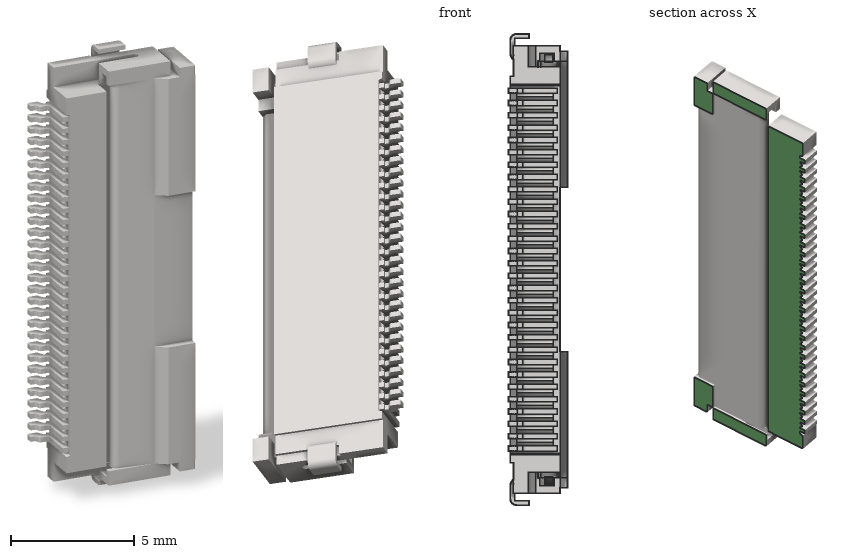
import cadquery as cq


half_length = 9.55
back_y = 6.4
flap_x = 2.4

base_x = 0.08
cover_x = 2.1
front_y = 0.82
rear_y = 5.42
housing_half = 9.07
end_step_x = 0.21
end_step_z = 7.83

shoulder_z = 8.21
slot_x = 0.8
slot_width = 0.3
slot_end_y = 4.5
arm_front_y = 2.7

cavity_x = 1.18
cavity_front_y = 2.6
cavity_half = 8.45
window_x = 1.28
window_right_x = 1.85
window_top_z = 8.77
window_back_y = 3.82
pin_x = 1.47
pin_right_x = 1.8
pin_front_y = 2.96
pin_top_z = 8.71

flap_inner_x = 0.94
flap_nose_x = 1.32
flap_nose_right_x = 1.95
flap_nose_y = 2.96
flap_ramp_top_y = 5.2
flap_ramp_slope_y = 4.72
flap_window_half = 7.3
flap_relief_half = 3.32
flap_rim_chamfer = 0.2
ear_x = 0.23
ear_y = 5.71
ear_inner_z = 7.81
ear_outer_z = 8.85
ear_round = 0.05
nub_width = 0.27
nub_length = 0.11

clip_thickness = 0.2
clip_reach_x = 0.84
clip_front_y = 2.8
clip_back_y = 4.0
clip_low_z = 8.5
clip_toe_height = 0.23
clip_toe_bulge = 0.02
clip_bend = 0.27
clip_pocket_x = 0.36
clip_pocket_z = 8.67

contact_count = 30
contact_row_length = 14.5
contact_pitch = contact_row_length / (contact_count - 1)
contact_width = 0.21
foot_thickness = 0.36
foot_length = 0.27
foot_toe = 0.08
foot_bend_y = 0.38
neck_low_x = 0.3
neck_high_x = 0.6
neck_low_y = 0.61
neck_bend = 0.11
bar_x = 0.2
bar_right_x = 1.99
bar_front_y = 0.7
bar_heel_y = 0.76
recess_y = 0.97
recess_half = 7.45
recess_end_slope = 0.05
ridge_x = 0.35
ridge_right_x = 1.81
ridge_half_width = 0.15
overlap = 0.04


def box(x0, x1, y0, y1, z0, z1):
    """Block between two opposite corners."""
    return cq.Workplane("XY").box(x1 - x0, y1 - y0, z1 - z0, centered=False).translate((x0, y0, z0))


def both_ends(upper):
    """The given shape together with its mirror image in Z = 0."""
    return upper.union(upper.mirror("XY"))


def make_housing():
    housing = box(base_x, cover_x, front_y, rear_y, -housing_half, housing_half)
    end_step = box(base_x, end_step_x, front_y, rear_y, end_step_z, housing_half)
    clip_pocket = box(base_x, clip_pocket_x, arm_front_y, rear_y, clip_pocket_z, housing_half)
    notch = box(slot_x, cover_x, front_y, arm_front_y, shoulder_z, housing_half)
    slot_radius = slot_width / 2
    slot_center_x = slot_x + slot_radius
    slot_center_y = slot_end_y - slot_radius
    slot = box(slot_x, slot_x + slot_width, front_y, slot_center_y, shoulder_z, housing_half)
    slot_end = (
        cq.Workplane("XY", origin=(slot_center_x, slot_center_y, shoulder_z))
        .circle(slot_radius)
        .extrude(housing_half - shoulder_z)
    )
    window = box(window_x, window_right_x, cavity_front_y, window_back_y, cavity_half, window_top_z)
    for cutter in (end_step, clip_pocket, notch, slot, slot_end, window):
        housing = housing.cut(both_ends(cutter))
    cavity = box(cavity_x, cover_x, cavity_front_y, rear_y, -cavity_half, cavity_half)
    return housing.cut(cavity).cut(make_contact_recess())


def make_contact_recess():
    """Shallow trough across the front face with sloping ends."""
    mouth_half = recess_half + recess_end_slope
    return (
        cq.Workplane("YZ", origin=(base_x, 0, 0))
        .polyline([
            (front_y, -mouth_half),
            (recess_y, -recess_half),
            (recess_y, recess_half),
            (front_y, mouth_half),
        ])
        .close()
        .extrude(cover_x - base_x)
    )


def make_flap():
    nose_radius = (flap_nose_right_x - flap_nose_x) / 2
    nose_center_y = flap_nose_y + nose_radius
    flap = (
        cq.Workplane("XY", origin=(0, 0, -cavity_half))
        .moveTo(flap_x, back_y)
        .lineTo(flap_x, flap_ramp_top_y)
        .lineTo(cover_x, flap_ramp_slope_y)
        .lineTo(flap_nose_right_x, nose_center_y)
        .threePointArc((flap_nose_x + nose_radius, flap_nose_y), (flap_nose_x, nose_center_y))
        .lineTo(flap_nose_x, rear_y)
        .lineTo(flap_inner_x, rear_y)
        .lineTo(flap_inner_x, back_y)
        .close()
        .extrude(2 * cavity_half)
    )
    opening = (
        cq.Workplane("XY", origin=(0, 0, -flap_window_half))
        .moveTo(flap_inner_x, rear_y)
        .lineTo(flap_nose_x, rear_y)
        .lineTo(flap_nose_x, back_y - flap_rim_chamfer)
        .lineTo(flap_nose_x + flap_rim_chamfer, back_y)
        .lineTo(flap_inner_x, back_y)
        .close()
        .extrude(2 * flap_window_half)
    )
    relief = box(cover_x, flap_x, flap_ramp_slope_y, back_y, -flap_relief_half, flap_relief_half)
    ear = box(ear_x, flap_x, ear_y, back_y, ear_inner_z, ear_outer_z)
    ear = ear.edges("|Z and >X and >Y").fillet(ear_round)
    return flap.cut(opening).cut(relief).union(both_ends(ear))


def make_hinge_pin():
    """Wedge on the flap end that rises into the window of the upper hinge arm."""
    return (
        cq.Workplane("YZ", origin=(pin_x, 0, 0))
        .polyline([
            (pin_front_y, cavity_half - overlap),
            (window_back_y, cavity_half - overlap),
            (window_back_y, pin_top_z),
            (pin_front_y, cavity_half),
        ])
        .close()
        .extrude(pin_right_x - pin_x)
    )


def make_nub():
    """Small stop between the housing rear face and the flap."""
    return box(
        flap_inner_x, flap_inner_x + nub_width,
        rear_y - overlap, rear_y + nub_length,
        ear_inner_z, cavity_half + overlap,
    )


def make_clip():
    """Upper solder clip: an L-shaped strip bent around the housing end."""
    inner_x = base_x + clip_thickness
    inner_z = half_length - clip_thickness
    toe_top_z = clip_low_z + clip_toe_height
    toe_middle_x = (base_x + end_step_x) / 2 - clip_toe_bulge
    toe_middle_z = clip_low_z + clip_toe_height / 2 - clip_toe_bulge
    clip = (
        cq.Workplane("XZ", origin=(0, clip_back_y, 0))
        .moveTo(base_x, half_length)
        .lineTo(clip_reach_x, half_length)
        .lineTo(clip_reach_x, inner_z)
        .lineTo(inner_x, inner_z)
        .lineTo(inner_x, clip_low_z)
        .lineTo(end_step_x, clip_low_z)
        .threePointArc((toe_middle_x, toe_middle_z), (base_x, toe_top_z))
        .close()
        .extrude(clip_back_y - clip_front_y)
    )
    return clip.edges("|Y and <X and >Z").fillet(clip_bend)


def make_contact(center_z):
    """Front bar of one contact with its stepped solder foot and rounded bends."""
    bar_back_y = recess_y + overlap
    return (
        cq.Workplane("XY", origin=(0, 0, center_z - contact_width / 2))
        .moveTo(foot_toe, 0)
        .lineTo(foot_thickness, 0)
        .lineTo(foot_thickness, foot_length - neck_bend)
        .radiusArc((foot_thickness + neck_bend, foot_length), neck_bend)
        .radiusArc((neck_high_x, foot_length + neck_bend), -neck_bend)
        .lineTo(neck_high_x, bar_front_y - neck_bend)
        .radiusArc((neck_high_x + neck_bend, bar_front_y), neck_bend)
        .lineTo(bar_right_x, bar_front_y)
        .lineTo(bar_right_x, bar_back_y)
        .lineTo(bar_x, bar_back_y)
        .lineTo(bar_x, bar_heel_y)
        .lineTo(neck_low_x, bar_heel_y)
        .lineTo(neck_low_x, neck_low_y)
        .lineTo(neck_bend, neck_low_y - neck_bend)
        .radiusArc((0, foot_bend_y), -neck_bend)
        .lineTo(0, foot_toe)
        .radiusArc((foot_toe, 0), -foot_toe)
        .close()
        .extrude(contact_width)
    )


def make_ridge(center_z):
    """Triangular rib between two neighbouring contacts."""
    return (
        cq.Workplane("YZ", origin=(ridge_x, 0, 0))
        .polyline([
            (recess_y + overlap, center_z - ridge_half_width),
            (recess_y, center_z - ridge_half_width),
            (front_y, center_z),
            (recess_y, center_z + ridge_half_width),
            (recess_y + overlap, center_z + ridge_half_width),
        ])
        .close()
        .extrude(ridge_right_x - ridge_x)
    )


first_contact_z = -contact_row_length / 2
contact_row = []
for index in range(contact_count):
    contact_z = first_contact_z + index * contact_pitch
    contact_row.append(make_contact(contact_z).val())
    if index < contact_count - 1:
        contact_row.append(make_ridge(contact_z + contact_pitch / 2).val())

result = make_housing().union(make_flap())
for end_part in (make_hinge_pin(), make_nub(), make_clip()):
    result = result.union(both_ends(end_part))
result = cq.Workplane(result.val().fuse(*contact_row)).solids()